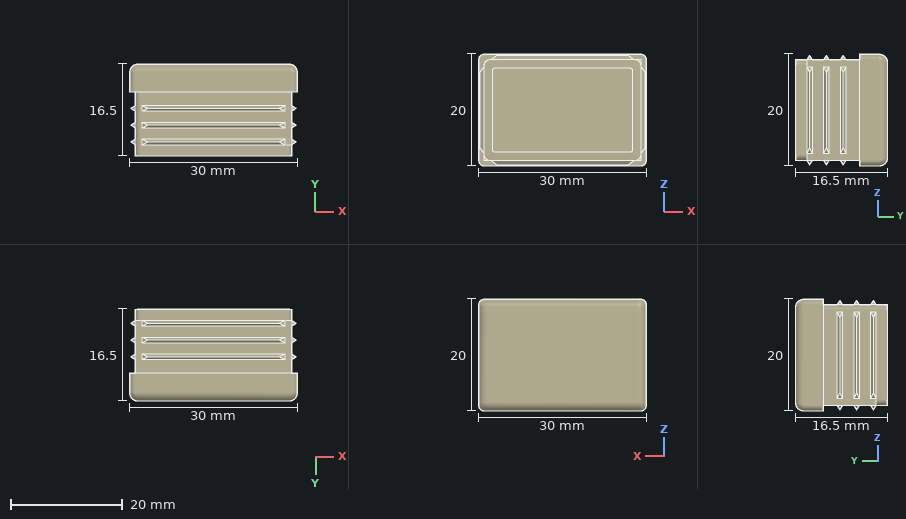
import cadquery as cq


CAP_WIDTH = 30.0
CAP_HEIGHT = 20.0
CAP_THICKNESS = 5.0
CAP_EDGE_RADIUS = 1.5

TOTAL_DEPTH = 16.5
SHOULDER = 1.0
WALL = 1.5
CORNER_RADIUS = 1.0
RIM_RISE = 0.05
BODY_WIDTH = CAP_WIDTH - 2 * SHOULDER
BODY_HEIGHT = CAP_HEIGHT - 2 * SHOULDER
BODY_DEPTH = TOTAL_DEPTH - CAP_THICKNESS

FLOOR_THICKNESS = 3.0
CAVITY_CORNER_RADIUS = 0.45
CAVITY_WIDTH = BODY_WIDTH - 2 * WALL
CAVITY_HEIGHT = BODY_HEIGHT - 2 * WALL
CAVITY_DEPTH = TOTAL_DEPTH - FLOOR_THICKNESS

RIB_BASE = 1.0
RIB_RISE = 0.78
RIB_END_SLOPE = 1.0
RIB_PITCH = 3.0
RIB_COUNT = 3
FIRST_RIB_FROM_RIM = 2.55
RIB_CORNER_GAP = 1.25
RIB_EMBED = 0.15

SHORT_ROUND_LENGTH = FIRST_RIB_FROM_RIM - RIB_BASE / 2


def block(width, height, y_start, y_end):
    """Box centred on the Y axis between two Y positions."""
    return cq.Workplane("XY").box(width, y_end - y_start, height).translate((0, (y_start + y_end) / 2, 0))


def make_cap():
    cap = block(CAP_WIDTH, CAP_HEIGHT, 0, CAP_THICKNESS).edges("|Y").fillet(CORNER_RADIUS)
    return cap.faces(">Y").edges().fillet(CAP_EDGE_RADIUS)


def make_body():
    """Long section with one rounded corner, then a fully rounded end with a mitred rim."""
    end_start = -BODY_DEPTH + SHORT_ROUND_LENGTH
    rim_outer = -BODY_DEPTH + RIM_RISE
    long_section = block(BODY_WIDTH, BODY_HEIGHT, end_start, 0)
    long_section = long_section.edges("|Y and <X and >Z").fillet(CORNER_RADIUS)

    end_section = block(BODY_WIDTH, BODY_HEIGHT, rim_outer, end_start)
    rim = (
        cq.Workplane("XZ", origin=(0, rim_outer, 0))
        .rect(BODY_WIDTH, BODY_HEIGHT)
        .workplane(offset=RIM_RISE)
        .rect(CAVITY_WIDTH, CAVITY_HEIGHT)
        .loft(ruled=True)
    )
    envelope = block(BODY_WIDTH, BODY_HEIGHT, -BODY_DEPTH, end_start).edges("|Y").fillet(CORNER_RADIUS)
    return long_section.union(end_section.union(rim).intersect(envelope))


def make_cavity():
    cavity = block(CAVITY_WIDTH, CAVITY_HEIGHT, -BODY_DEPTH, -BODY_DEPTH + CAVITY_DEPTH)
    return cavity.edges("|Y").fillet(CAVITY_CORNER_RADIUS)


def make_rib(length):
    """Triangular ridge along X with sloping ends, rising toward +Z from Z = 0."""
    half = length / 2
    ridge = (
        cq.Workplane("YZ", origin=(-half, 0, 0))
        .polyline([(-RIB_BASE / 2, 0), (RIB_BASE / 2, 0), (0, RIB_RISE)])
        .close()
        .extrude(length)
    )
    end_profile = (
        cq.Workplane("XZ")
        .polyline([(-half, 0), (half, 0), (half - RIB_END_SLOPE, RIB_RISE), (RIB_END_SLOPE - half, RIB_RISE)])
        .close()
        .extrude(RIB_BASE, both=True)
    )
    root = cq.Workplane("XY").box(length, RIB_BASE, RIB_EMBED, centered=(True, True, False))
    return ridge.intersect(end_profile).union(root.translate((0, 0, -RIB_EMBED)))


def add_ribs(part):
    """Put parallel rows of ribs on all four sides of the body."""
    long_rib = make_rib(BODY_WIDTH - 2 * RIB_CORNER_GAP).translate((0, 0, BODY_HEIGHT / 2))
    short_rib = make_rib(BODY_HEIGHT - 2 * RIB_CORNER_GAP).translate((0, 0, BODY_WIDTH / 2))
    for row in range(RIB_COUNT):
        y = -BODY_DEPTH + FIRST_RIB_FROM_RIM + row * RIB_PITCH
        for rib, angles in ((long_rib, (0, 180)), (short_rib, (90, 270))):
            for angle in angles:
                part = part.union(rib.rotate((0, 0, 0), (0, 1, 0), angle).translate((0, y, 0)))
    return part


result = add_ribs(make_cap().union(make_body()).cut(make_cavity()))